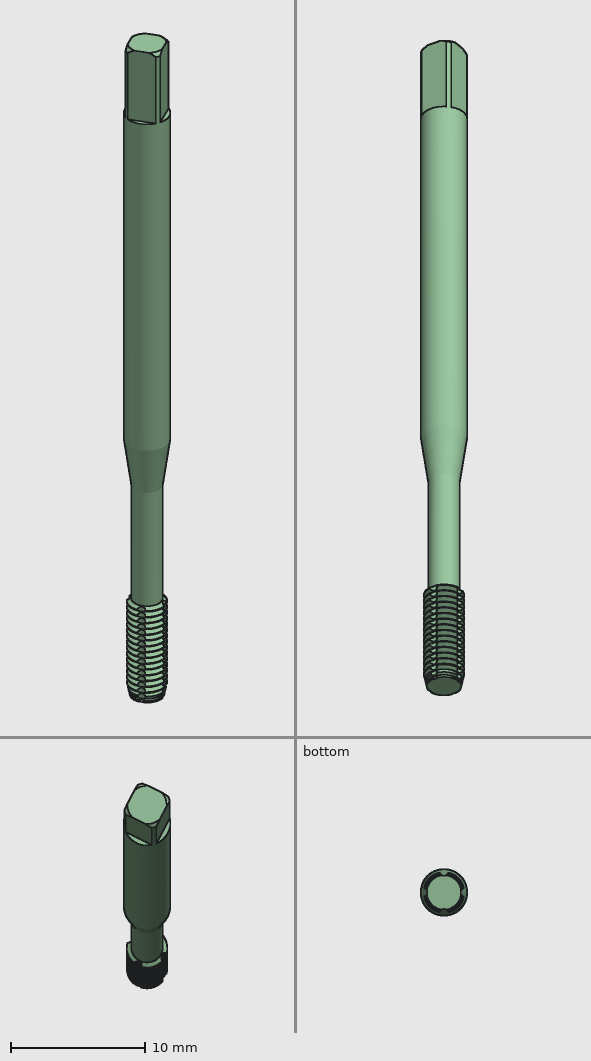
import cadquery as cq
import math

TOTAL_LENGTH = 56.0

PITCH = 0.5
TOOTH_COUNT = 16
CREST_RADIUS = 1.5
ROOT_RADIUS = 1.2
CREST_WIDTH = 0.07
FIRST_ROOT_Z = 0.265
HEAD_LENGTH = FIRST_ROOT_Z + TOOTH_COUNT * PITCH

TIP_RADIUS = 1.3
LEAD_LENGTH = 1.05

GROOVE_COUNT = 4
GROOVE_FLOOR_RADIUS = 1.25
GROOVE_ARC_RADIUS = 0.35

NECK_RADIUS = 1.2
TAPER_BOTTOM_Z = 18.0
TAPER_TOP_Z = 21.95
SHANK_RADIUS = 1.75
SQUARE_FLAT_WIDTH = 2.2
SQUARE_WIDTH = 2 * math.sqrt(SHANK_RADIUS**2 - (SQUARE_FLAT_WIDTH / 2) ** 2)
SQUARE_LENGTH = 6.0
END_CHAMFER = 0.3


def turn(outline):
    """Revolve a closed half section of (radius, Z) points about the Z axis."""
    return cq.Workplane("XZ").polyline(outline).close().revolve(360, (0, 0, 0), (0, 1, 0))


def make_shank():
    """Neck, taper and cylinder as one turned solid, with the square cut at its chamfered top."""
    blank = turn(
        [
            (0, HEAD_LENGTH),
            (NECK_RADIUS, HEAD_LENGTH),
            (NECK_RADIUS, TAPER_BOTTOM_Z),
            (SHANK_RADIUS, TAPER_TOP_Z),
            (SHANK_RADIUS, TOTAL_LENGTH - END_CHAMFER),
            (SHANK_RADIUS - END_CHAMFER, TOTAL_LENGTH),
            (0, TOTAL_LENGTH),
        ]
    )
    waste_width = 3 * SHANK_RADIUS
    waste = (
        cq.Workplane("XY", origin=(0, 0, TOTAL_LENGTH - SQUARE_LENGTH))
        .rect(waste_width, waste_width)
        .rect(SQUARE_WIDTH, SQUARE_WIDTH)
        .extrude(SQUARE_LENGTH)
    )
    return blank.cut(waste)


def thread_outline():
    """Half section of the untrimmed thread: part of a tooth at the tip, then a row of whole teeth."""
    flank_height = (PITCH - CREST_WIDTH) / 2
    outline = [
        (0, 0),
        (CREST_RADIUS, 0),
        (CREST_RADIUS, FIRST_ROOT_Z - flank_height),
        (ROOT_RADIUS, FIRST_ROOT_Z),
    ]
    for tooth in range(TOOTH_COUNT):
        lower_root_z = FIRST_ROOT_Z + tooth * PITCH
        upper_root_z = lower_root_z + PITCH
        outline += [
            (CREST_RADIUS, lower_root_z + flank_height),
            (CREST_RADIUS, upper_root_z - flank_height),
            (ROOT_RADIUS, upper_root_z),
        ]
    outline.append((0, HEAD_LENGTH))
    return outline


def lead_cutter():
    """Ring outside the lead cone, which widens from the tip to the full thread."""
    outer_radius = 2 * CREST_RADIUS
    return turn(
        [
            (TIP_RADIUS, 0),
            (outer_radius, 0),
            (outer_radius, LEAD_LENGTH),
            (CREST_RADIUS, LEAD_LENGTH),
        ]
    )


def groove_cutter(angle):
    """Round-bottomed groove along the whole head, on the side at the given angle from +X."""
    return (
        cq.Workplane("XY")
        .center(GROOVE_FLOOR_RADIUS + GROOVE_ARC_RADIUS, 0)
        .circle(GROOVE_ARC_RADIUS)
        .extrude(HEAD_LENGTH)
        .rotate((0, 0, 0), (0, 0, 1), angle)
    )


def make_threaded_head():
    head = turn(thread_outline()).cut(lead_cutter())
    for index in range(GROOVE_COUNT):
        head = head.cut(groove_cutter(index * 360 / GROOVE_COUNT))
    return head


shank = make_shank()
threaded_head = make_threaded_head()
result = cq.Compound.makeCompound([shank.val(), threaded_head.val()])